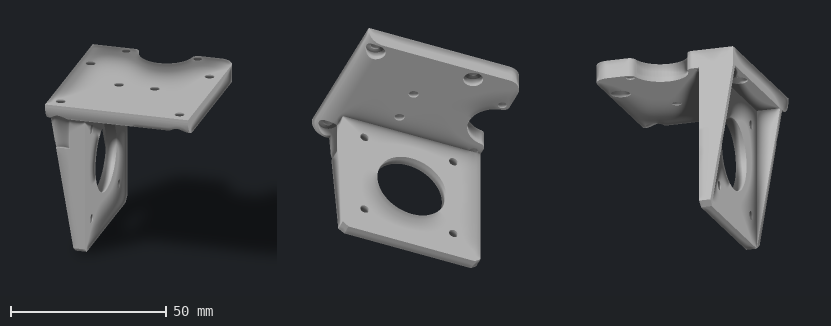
import cadquery as cq

deck_width = 48.0
deck_length = 54
deck_thickness = 6.0
front_round_radius = 4.95
back_corner_radius = 4.95

notch_x = 25.0
notch_y = 53.5
notch_radius = 9.0
lip_radius = 2.05

total_height = 53.0
upright_inner_x = 11.6
upright_outer_x = 8.0
upright_front_y = 6.0
upright_width = deck_length - upright_front_y
rib_thickness = 2.0
bottom_chamfer_width = 2.0
bottom_chamfer_height = 1.6

motor_y = upright_front_y + upright_width / 2
motor_z = -28.1
motor_bore_diameter = 24.0
motor_hole_diameter = 3.0
motor_hole_spacing = 30.95
motor_hole_offset_y = -0.95

mount_hole_diameter = 3.2
mount_spacing_x = 39.95
mount_front_y = 4.05
mount_back_y = 38.0
center_spacing_x = 12.0
center_y = 23.05
back_hole_diameter = 2.8
back_spacing_x = 24.0
back_hole_y = 51.45

head_diameter = 6.4
head_seat_z = -3.0
head_clearance_z = -17.0


def hole_pairs(spacing, *rows):
    """Hole centers symmetric about the deck's middle, one pair per Y row."""
    middle = deck_width / 2
    return [(middle + side * spacing / 2, y) for y in rows for side in (-1, 1)]


def vertical_cylinders(points, diameter, top_z, bottom_z):
    plane = cq.Workplane("XY", origin=(0, 0, bottom_z))
    return plane.pushPoints(points).circle(diameter / 2).extrude(top_z - bottom_z)


def make_deck():
    underside = cq.Workplane("XY", origin=(0, 0, -deck_thickness))
    deck = underside.box(deck_width, deck_length, deck_thickness, centered=False)
    deck = deck.edges("|X and <Y and <Z").fillet(front_round_radius)
    deck = deck.edges("|Z and >X and >Y").fillet(back_corner_radius)
    notch = vertical_cylinders([(notch_x, notch_y)], 2 * notch_radius, 0, -deck_thickness)
    deck = deck.cut(notch)
    margin = 0.55
    lip_box = cq.selectors.BoxSelector(
        (notch_x - notch_radius - margin, deck_length - margin, -deck_thickness),
        (notch_x + notch_radius + margin, deck_length + margin, 0),
    )
    return deck.edges("|Z").edges(lip_box).fillet(lip_radius)


def make_upright():
    upright = (
        cq.Workplane("XZ", origin=(0, upright_front_y, 0))
        .moveTo(0, -deck_thickness)
        .lineTo(upright_inner_x, -deck_thickness)
        .lineTo(upright_inner_x, -total_height)
        .lineTo(upright_outer_x, -total_height)
        .close()
        .extrude(-upright_width)
    )
    pocket_width = upright_width - 2 * rib_thickness
    pocket_height = total_height - deck_thickness
    pocket_plane = cq.Workplane("XY", origin=(0, upright_front_y + rib_thickness, -total_height))
    pocket = pocket_plane.box(upright_outer_x, pocket_width, pocket_height, centered=False)
    upright = upright.cut(pocket)
    for corner_y, inward in ((upright_front_y, 1), (deck_length, -1)):
        corner = (
            cq.Workplane("YZ")
            .moveTo(corner_y, -total_height)
            .lineTo(corner_y + inward * bottom_chamfer_width, -total_height)
            .lineTo(corner_y, -total_height + bottom_chamfer_height)
            .close()
            .extrude(upright_inner_x)
        )
        upright = upright.cut(corner)
    bore = cq.Workplane("YZ").center(motor_y, motor_z).circle(motor_bore_diameter / 2).extrude(upright_inner_x)
    screws = (
        cq.Workplane("YZ")
        .center(motor_y + motor_hole_offset_y, motor_z)
        .rect(motor_hole_spacing, motor_hole_spacing, forConstruction=True)
        .vertices()
        .circle(motor_hole_diameter / 2)
        .extrude(upright_inner_x)
    )
    return upright.cut(bore).cut(screws)


mount_points = hole_pairs(mount_spacing_x, mount_front_y, mount_back_y)
through_points = mount_points + hole_pairs(center_spacing_x, center_y)

back_points = hole_pairs(back_spacing_x, back_hole_y)
deck = make_deck()
deck = deck.cut(vertical_cylinders(through_points, mount_hole_diameter, 0, -deck_thickness))
deck = deck.cut(vertical_cylinders(back_points, back_hole_diameter, 0, -deck_thickness))
head_recesses = vertical_cylinders(mount_points, head_diameter, head_seat_z, head_clearance_z)

result = deck.union(make_upright()).cut(head_recesses)